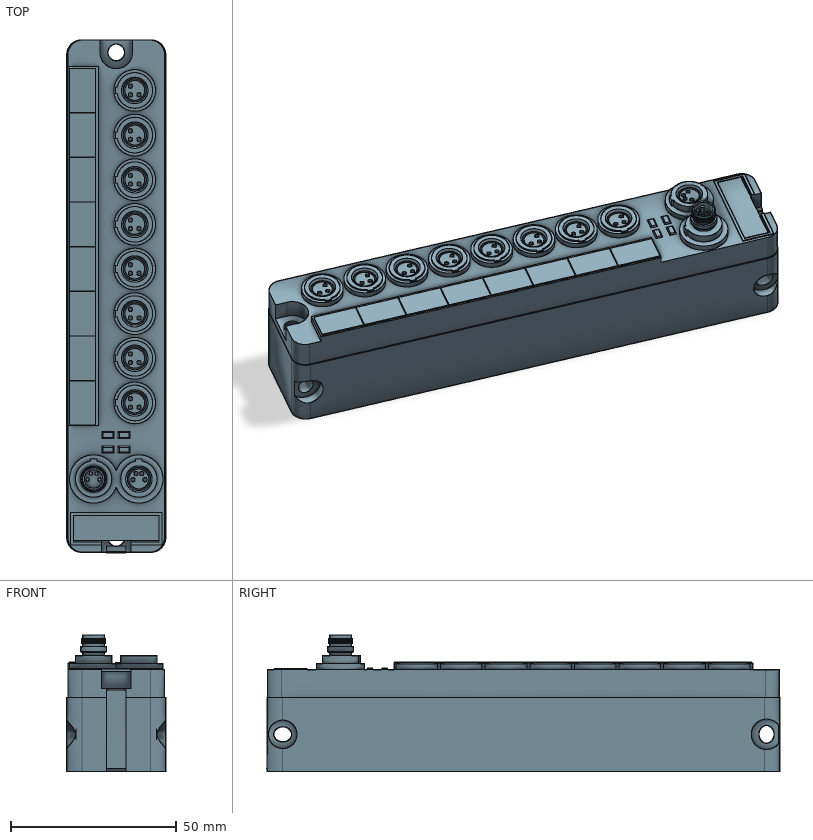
import cadquery as cq

WIDTH = 30.0
BODY_LENGTH = 155.0
BODY_HEIGHT = 30.9
SEAM_Z = 22.5
CORNER_RADIUS = 4.6
COVER_CORNER_RADIUS = 4.3
COVER_INSET = 0.4
COVER_END_INSET = 0.08
FRONT_Y = -BODY_LENGTH / 2
BACK_Y = BODY_LENGTH / 2
COVER_LEFT_X = -WIDTH / 2 + COVER_INSET

VERTICAL_HOLE_DIAMETER = 5.0
SEAT_Z = 25.1
BACK_VERTICAL_Y = BACK_Y - 3.8
BACK_SEAT_RADIUS = 4.9
FRONT_VERTICAL_Y = FRONT_Y + 4.4
FRONT_SEAT_RADIUS = 4.4
CROSS_HOLE_Z = 11.3
CROSS_HOLE_LONG = 5.4
CROSS_HOLE_SHORT = 4.6
CROSS_SEAT_DEPTH = 2.8
BACK_CROSS_Y = BACK_Y - 4.0
BACK_CROSS_SEAT_RADIUS = 4.6
FRONT_CROSS_Y = FRONT_Y + 4.7
FRONT_CROSS_SEAT_RADIUS = 4.3

SLOT_WIDTH = 6.0
SLOT_DEPTH = 1.9
TONGUE_TOP_Z = SEAT_Z - 0.4
TONGUE_TOP_INSET = 0.3
TONGUE_BOTTOM_INSET = 0.4
TONGUE_PROTRUSION = 0.13
TONGUE_EDGE_Z = 0.9

PORT_COUNT = 8
PORT_PITCH = 13.5
LEDGE_BACK_Y = BACK_Y - 8.1
LEDGE_MARGIN = 0.5
LEDGE_LENGTH = PORT_COUNT * PORT_PITCH + LEDGE_MARGIN
LEDGE_RIGHT_X = -5.3
LEDGE_TOP_Z = 32.8
PLATE_LEFT_X = COVER_LEFT_X + LEDGE_MARGIN
PLATE_RIGHT_X = -6.2
PLATE_GAP = 0.1
PLATE_THICKNESS = 0.4

PORT_X = 5.6
FIRST_PORT_Y = 62.2
PORT_BASE_RADIUS = 6.3
PORT_BASE_TOP_Z = 32.6
PORT_RIM_RADIUS = 5.4
PORT_TOP_Z = 33.1
PORT_CONTACTS = [(-1.3, 1.3), (-1.3, -1.3), (1.3, -1.3)]

CONNECTOR_X = 6.85
CONNECTOR_Y = FRONT_Y + 22.2
FLANGE_RADIUS = 7.3
FLANGE_TOP_Z = 32.7
COLLAR_RADIUS = 5.5
COLLAR_TOP_Z = 35.1
CONNECTOR_CONTACTS = [(-1.8, -0.2), (-0.85, 1.65), (0.85, 1.65), (1.8, -0.2)]

PLUG_TOP_Z = 41.35
PLUG_RADIUS = 3.35
PLUG_BORE_RADIUS = 2.8
PLUG_BORE_DEPTH = 4.0
PLUG_PIN_RADIUS = 0.5
PLUG_PIN_LENGTH = 3.2
STOP_RING_RADIUS = 3.95
STOP_RING_BOTTOM_Z = 36.0
STOP_RING_HEIGHT = 1.8
STOP_RING_CHAMFER = 0.4
RIB_RADIUS = 3.6
RIB_HEIGHT = 0.35
RIB_BOTTOMS_Z = (38.7, 39.35, 40.0)

KEY_WIDTH = 2.0
KEY_PROTRUSION = 0.5

SOCKET_MOUTH_RADIUS = 4.0
SOCKET_BORE_RADIUS = 3.5
SOCKET_MOUTH_DEPTH = 0.7
SOCKET_BORE_DEPTH = 3.0
INSERT_RADIUS = 3.0
INSERT_SINK = 0.8
CONTACT_RADIUS = 0.65
CONTACT_DEPTH = 2.0

WINDOW_LENGTH = 3.6
WINDOW_WIDTH = 2.1
WINDOW_HEIGHT = 0.4
WINDOW_BEVEL = 0.35
WINDOW_COLUMNS_X = (-2.5, 2.4)
WINDOW_ROWS_Y = (-42.0, -46.4)

LABEL_WIDTH = 25.8
LABEL_BACK_Y = FRONT_Y + 11.2
LABEL_FRONT_Y = FRONT_Y + 3.6
LABEL_FRONT_GAP = 0.45
LABEL_THICKNESS = 0.6
LABEL_RISE = 0.1
FRAME_WIDTH = 27.6
FRAME_BACK_Y = FRONT_Y + 12.1
FRAME_FRONT_Y = FRONT_Y + 2.2
FRAME_RISE = 0.3


def box(x_min, x_max, y_min, y_max, z_min, z_max):
    """Axis-aligned box between the given limits."""
    size = (x_max - x_min, y_max - y_min, z_max - z_min)
    return cq.Workplane("XY").box(*size, centered=False).translate((x_min, y_min, z_min))


def disc(x, y, radius, z_min, z_max):
    """Upright cylinder."""
    return cq.Workplane("XY", origin=(x, y, z_min)).circle(radius).extrude(z_max - z_min)


def housing():
    shell = cq.Workplane("XY").box(WIDTH, BODY_LENGTH, SEAM_Z, centered=(True, True, False))
    shell = shell.edges("|Z").fillet(CORNER_RADIUS)
    cover_width = WIDTH - 2 * COVER_INSET
    cover_height = BODY_HEIGHT - SEAM_Z
    cover_length = BODY_LENGTH - 2 * COVER_END_INSET
    cover = cq.Workplane("XY").box(cover_width, cover_length, cover_height, centered=(True, True, False))
    cover = cover.edges("|Z").fillet(COVER_CORNER_RADIUS)
    return shell.union(cover.translate((0, 0, SEAM_Z)))


def marker_ledge():
    ledge_front_y = LEDGE_BACK_Y - LEDGE_LENGTH
    ledge = box(COVER_LEFT_X, LEDGE_RIGHT_X, ledge_front_y, LEDGE_BACK_Y, SEAM_Z, LEDGE_TOP_Z)
    plate_top_z = LEDGE_TOP_Z + PLATE_THICKNESS
    for index in range(PORT_COUNT):
        back_y = ledge_front_y + (index + 1) * PORT_PITCH
        front_y = back_y - PORT_PITCH + PLATE_GAP
        plate = box(PLATE_LEFT_X, PLATE_RIGHT_X, front_y, back_y, LEDGE_TOP_Z, plate_top_z)
        ledge = ledge.union(plate)
    return ledge


def frame_pad():
    return box(-FRAME_WIDTH / 2, FRAME_WIDTH / 2, FRAME_FRONT_Y, FRAME_BACK_Y,
               SEAM_Z, BODY_HEIGHT + FRAME_RISE)


def label_block(front_y, top_z):
    """Block on the label floor, reaching forward to front_y and up to top_z."""
    return box(-LABEL_WIDTH / 2, LABEL_WIDTH / 2, front_y, LABEL_BACK_Y,
               BODY_HEIGHT - LABEL_THICKNESS, top_z)


def label_pocket():
    """Pocket for the label plate, with a narrow gap left open in front of it."""
    return label_block(LABEL_FRONT_Y - LABEL_FRONT_GAP, PLUG_TOP_Z)


def label_plate():
    return label_block(LABEL_FRONT_Y, BODY_HEIGHT + LABEL_RISE)


def seat_notch(y, end_y, radius):
    """Round-ended notch, open to the end face, above a vertical screw hole."""
    notch = disc(0, y, radius, SEAT_Z, PLUG_TOP_Z)
    return notch.union(box(-radius, radius, min(y, end_y), max(y, end_y), SEAT_Z, PLUG_TOP_Z))


def cross_hole(y, y_size, z_size, seat_radius):
    """Oval hole right across the housing with a round seat on both sides."""
    plane = cq.Workplane("YZ", origin=(0, y, CROSS_HOLE_Z))
    cut = plane.ellipse(y_size / 2, z_size / 2).extrude(WIDTH / 2, both=True)
    for side in (-1, 1):
        seat_plane = cq.Workplane("YZ", origin=(side * WIDTH / 2, y, CROSS_HOLE_Z))
        cut = cut.union(seat_plane.circle(seat_radius).extrude(-side * CROSS_SEAT_DEPTH))
    return cut


def front_slot():
    half = SLOT_WIDTH / 2
    return box(-half, half, FRONT_Y, FRONT_Y + SLOT_DEPTH, 0, SEAT_Z)


def tongue():
    """Tongue filling the slot; its outer face leans outward towards the bottom."""
    root_y = FRONT_Y + SLOT_DEPTH
    outline = [
        (root_y, 0),
        (FRONT_Y + TONGUE_BOTTOM_INSET, 0),
        (FRONT_Y - TONGUE_PROTRUSION, TONGUE_EDGE_Z),
        (FRONT_Y + TONGUE_TOP_INSET, TONGUE_TOP_Z),
        (root_y, TONGUE_TOP_Z),
    ]
    return cq.Workplane("YZ").polyline(outline).close().extrude(SLOT_WIDTH / 2, both=True)


def socket_cut(x, y, top_z, contacts):
    """Bore with a conical mouth around a sunken insert with contact holes."""
    mouth = cq.Workplane("XY", origin=(x, y, top_z)).circle(SOCKET_MOUTH_RADIUS)
    mouth = mouth.workplane(offset=-SOCKET_MOUTH_DEPTH).circle(SOCKET_BORE_RADIUS).loft()
    cut = mouth.union(disc(x, y, SOCKET_BORE_RADIUS, top_z - SOCKET_BORE_DEPTH, top_z))
    insert_top_z = top_z - INSERT_SINK
    cut = cut.cut(disc(x, y, INSERT_RADIUS, top_z - SOCKET_BORE_DEPTH, insert_top_z))
    for dx, dy in contacts:
        contact = disc(x + dx, y + dy, CONTACT_RADIUS, insert_top_z - CONTACT_DEPTH, insert_top_z)
        cut = cut.union(contact)
    return cut


def port(y):
    base = disc(PORT_X, y, PORT_BASE_RADIUS, SEAM_Z, PORT_BASE_TOP_Z)
    rim = disc(PORT_X, y, PORT_RIM_RADIUS, SEAM_Z, PORT_TOP_Z)
    key_left_x = PORT_X - PORT_RIM_RADIUS - KEY_PROTRUSION
    key = box(key_left_x, PORT_X - SOCKET_MOUTH_RADIUS, y - KEY_WIDTH / 2, y + KEY_WIDTH / 2,
              SEAM_Z, PORT_TOP_Z)
    return base.union(rim).union(key)


def connector_base(x):
    flange = disc(x, CONNECTOR_Y, FLANGE_RADIUS, SEAM_Z, FLANGE_TOP_Z)
    collar = disc(x, CONNECTOR_Y, COLLAR_RADIUS, SEAM_Z, COLLAR_TOP_Z)
    key_back_y = CONNECTOR_Y + COLLAR_RADIUS + KEY_PROTRUSION
    key = box(x - KEY_WIDTH / 2, x + KEY_WIDTH / 2, CONNECTOR_Y, key_back_y, SEAM_Z, COLLAR_TOP_Z)
    return flange.union(collar).union(key)


def plug(x):
    y = CONNECTOR_Y
    body = disc(x, y, PLUG_RADIUS, COLLAR_TOP_Z, PLUG_TOP_Z)
    stop_ring = disc(x, y, STOP_RING_RADIUS, STOP_RING_BOTTOM_Z, STOP_RING_BOTTOM_Z + STOP_RING_HEIGHT)
    body = body.union(stop_ring.faces("<Z").chamfer(STOP_RING_CHAMFER))
    for bottom_z in RIB_BOTTOMS_Z:
        body = body.union(disc(x, y, RIB_RADIUS, bottom_z, bottom_z + RIB_HEIGHT))
    floor_z = PLUG_TOP_Z - PLUG_BORE_DEPTH
    body = body.cut(disc(x, y, PLUG_BORE_RADIUS, floor_z, PLUG_TOP_Z))
    for dx, dy in CONNECTOR_CONTACTS:
        body = body.union(disc(x + dx, y + dy, PLUG_PIN_RADIUS, floor_z, floor_z + PLUG_PIN_LENGTH))
    return body


def window(x, y):
    """Raised indicator window with bevelled sides."""
    base = cq.Workplane("XY", origin=(x, y, BODY_HEIGHT))
    pad = base.box(WINDOW_LENGTH, WINDOW_WIDTH, WINDOW_HEIGHT, centered=(True, True, False))
    return pad.faces(">Z").chamfer(WINDOW_BEVEL)


def build():
    part = housing().union(marker_ledge()).union(frame_pad()).cut(label_pocket())

    part = part.cut(seat_notch(BACK_VERTICAL_Y, BACK_Y, BACK_SEAT_RADIUS))
    part = part.cut(seat_notch(FRONT_VERTICAL_Y, FRONT_Y, FRONT_SEAT_RADIUS))
    part = part.cut(front_slot()).union(tongue())
    for y in (BACK_VERTICAL_Y, FRONT_VERTICAL_Y):
        part = part.cut(disc(0, y, VERTICAL_HOLE_DIAMETER / 2, 0, PLUG_TOP_Z))
    part = part.cut(cross_hole(BACK_CROSS_Y, CROSS_HOLE_SHORT, CROSS_HOLE_LONG, BACK_CROSS_SEAT_RADIUS))
    part = part.cut(cross_hole(FRONT_CROSS_Y, CROSS_HOLE_LONG, CROSS_HOLE_SHORT, FRONT_CROSS_SEAT_RADIUS))
    part = part.union(label_plate())

    for index in range(PORT_COUNT):
        y = FIRST_PORT_Y - index * PORT_PITCH
        part = part.union(port(y)).cut(socket_cut(PORT_X, y, PORT_TOP_Z, PORT_CONTACTS))

    for x in (-CONNECTOR_X, CONNECTOR_X):
        part = part.union(connector_base(x))
    part = part.union(plug(-CONNECTOR_X))
    part = part.cut(socket_cut(CONNECTOR_X, CONNECTOR_Y, COLLAR_TOP_Z, CONNECTOR_CONTACTS))

    for x in WINDOW_COLUMNS_X:
        for y in WINDOW_ROWS_Y:
            part = part.union(window(x, y))
    return part


result = build()